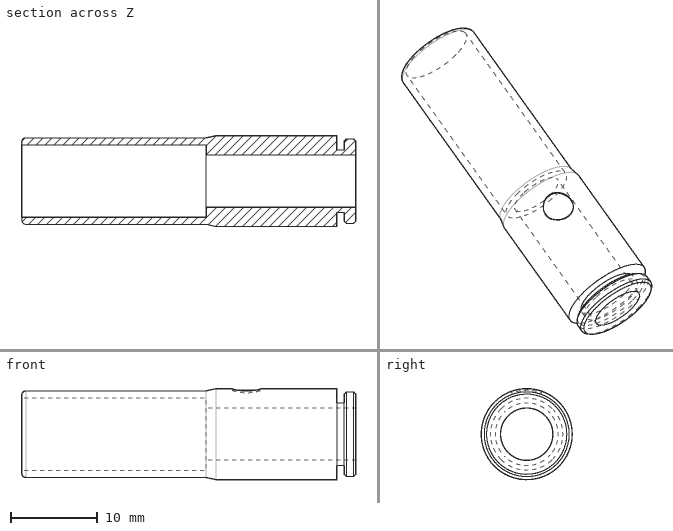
import cadquery as cq

length = 38.5
tube_radius = 5.0
body_radius = 5.255
neck_radius = 3.6
flange_radius = 4.9
through_radius = 3.0
socket_radius = 4.15

collar_start = 21.25
body_start = 22.35
body_end = 36.3
flange_start = 37.15
socket_depth = collar_start

tube_fillet = 0.5
flange_chamfer = 0.27

recess_radius = 1.75
recess_depth = 0.2
recess_x = 25.9


def cylinder(start, end, radius):
    """Cylinder on the X axis between two stations."""
    return cq.Workplane("YZ", origin=(start, 0, 0)).circle(radius).extrude(end - start)


def make_tube():
    tube = cylinder(0, collar_start, tube_radius)
    return tube.faces("<X").edges().fillet(tube_fillet)


def make_body():
    """Body, its conical shoulder, and the narrow neck behind the flange."""
    return (
        cq.Workplane("XY")
        .moveTo(collar_start, 0)
        .lineTo(collar_start, tube_radius)
        .lineTo(body_start, body_radius)
        .lineTo(body_end, body_radius)
        .lineTo(body_end, neck_radius)
        .lineTo(flange_start, neck_radius)
        .lineTo(flange_start, 0)
        .close()
        .revolve(360, (0, 0, 0), (1, 0, 0))
    )


def make_flange():
    flange = cylinder(flange_start, length, flange_radius)
    return flange.edges().chamfer(flange_chamfer)


def make_recess():
    """Cutter whose curved floor stays parallel to the body surface."""
    plug = cq.Workplane("XY").center(recess_x, 0).circle(recess_radius).extrude(body_radius)
    return plug.cut(cylinder(0, length, body_radius - recess_depth))


result = make_tube().union(make_body()).union(make_flange())
result = result.cut(cylinder(0, length, through_radius))
result = result.cut(cylinder(0, socket_depth, socket_radius))
result = result.cut(make_recess())